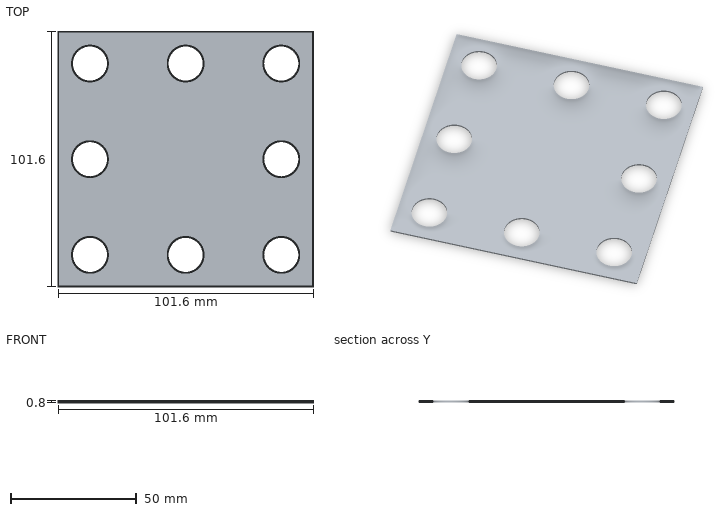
import cadquery as cq

side = 101.6
thickness = 0.8

hole_diameter = 14.2
hole_pitch = 38.1

grid_steps = (-1, 0, 1)
hole_centers = [
    (column * hole_pitch, row * hole_pitch)
    for column in grid_steps
    for row in grid_steps
    if (column, row) != (0, 0)
]

plate = cq.Workplane("XY").rect(side, side).extrude(thickness)
result = plate.faces(">Z").workplane().pushPoints(hole_centers).hole(hole_diameter)